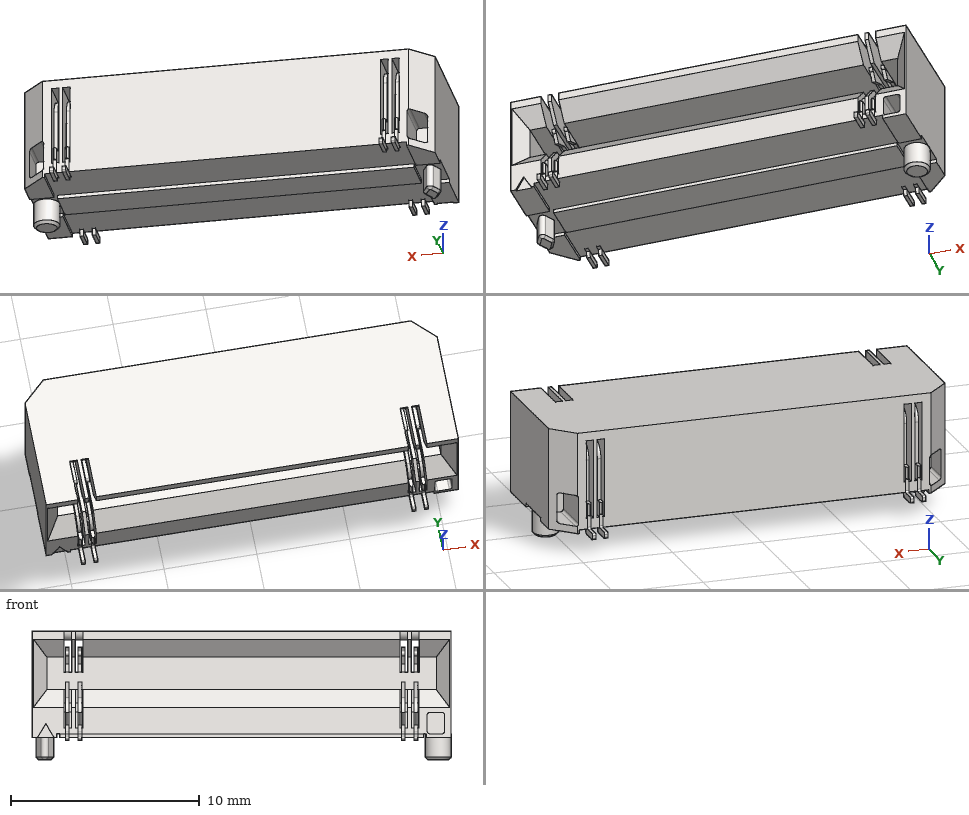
import cadquery as cq
import math


LENGTH = 22.2
DEPTH = 7.44
HEIGHT = 5.65
REAR_CHAMFER = 1.2
FRONT_Y = -DEPTH / 2
REAR_Y = DEPTH / 2

MOUTH_BOTTOM = 1.61
MOUTH_TOP = 5.21
MOUTH_INSET = 0.08
MOUTH_DEPTH = 0.9
CAVITY_BOTTOM = 2.54
CAVITY_TOP = 4.27
CAVITY_INSET = 0.78
REAR_WALL = 1.2

RELIEF = 0.2
CORNER_FOOT_X = 1.31
RELIEF_HALF_Y = 1.2
PAD_HALF_Y = 1.0
PAD_INSET = 1.46

PEG_X = 10.42
PEG_LENGTH = 1.18
PEG_CHAMFER = 0.15
ROUND_PEG_RADIUS = 0.7
DIAMOND_HALF_X = 0.507
DIAMOND_HALF_Y = 0.953
DIAMOND_ROUNDING = 0.22

POCKET_WIDTH = 0.93
POCKET_INSET = 0.34
POCKET_ROUNDING = 0.15
FRONT_POCKET_Z = (0.2, 1.34)
FRONT_POCKET_DEPTH = 2.0
REAR_POCKET_Z = (0.41, 2.14)
REAR_POCKET_DEPTH = 2.5
MARK_WIDTH = 0.88
MARK_HEIGHT = 0.74
MARK_CENTRE_INSET = 0.73
MARK_DEPTH = 0.1

PAIR_X = 8.9
SLOT_OFFSET = 0.3
SLOT_WIDTH = 0.4
SLOT_STEP_DEPTH = 0.87
FRONT_SLOT_BOTTOM = 0.5
LEDGE_Z = 1.37
RAMP_START = 1.2
RAMP_BOTTOM = 1.84
RAMP_ANGLE = 22
ROOF_SLOT_LENGTH = 2.36
ROOF_CHANNEL_TOP = 5.17
REAR_SLOT_BOTTOM = 0.8
REAR_WINDOW_BOTTOM = 3.47

CONTACT_OFFSET = 0.335
CONTACT_THICKNESS = 0.2
SOLDER_TAIL = 0.83
SOLDER_BOTTOM = -0.15
SOLDER_INNER = 0.28
TAIL_ROUNDING = 0.1
LEG_WIDTH = 0.36
BARB = 0.13
BARB_HEIGHT = 0.67
LOWER_BARB_TOP = 1.33
UPPER_BARB_TOP = 1.64
BEND_RADIUS = 0.85
BEAM_THICKNESS = 0.28
LOWER_PEAK_Z = 2.96
LOWER_NOSE_DROP = 0.2
LOWER_NOSE_LENGTH = 0.45
UPPER_BEND_TOP = 4.8
UPPER_NOSE_DEPTH = DEPTH - 1.6
UPPER_NOSE_TOP = 4.6
UPPER_NOSE_BOTTOM = 4.33
UPPER_CONTACT_Z = 3.9
UPPER_CONTACT_DEPTH = 5.35
UPPER_BEAM_BEND_DEPTH = 4.4


def box(x0, x1, y0, y1, z0, z1):
    """Axis-aligned box between opposite corners."""
    return cq.Workplane("XY").box(x1 - x0, y1 - y0, z1 - z0, centered=False).translate((x0, y0, z0))


def shell():
    """Block with the two rear vertical edges cut off."""
    block = box(-LENGTH / 2, LENGTH / 2, FRONT_Y, REAR_Y, 0, HEIGHT)
    return block.edges("|Z and >Y").chamfer(REAR_CHAMFER)


def front_rectangle(y, inset, z0, z1):
    """Rectangular wire across the housing length, in the plane at the given Y."""
    half = LENGTH / 2 - inset
    corners = [(-half, y, z0), (half, y, z0), (half, y, z1), (-half, y, z1)]
    return cq.Wire.makePolygon([cq.Vector(*corner) for corner in corners], close=True)


def cavity():
    """Card cavity: a tapered mouth followed by a straight pocket."""
    mouth_end = FRONT_Y + MOUTH_DEPTH
    mouth = cq.Solid.makeLoft(
        [
            front_rectangle(FRONT_Y, MOUTH_INSET, MOUTH_BOTTOM, MOUTH_TOP),
            front_rectangle(mouth_end, CAVITY_INSET, CAVITY_BOTTOM, CAVITY_TOP),
        ],
        True,
    )
    half = LENGTH / 2 - CAVITY_INSET
    pocket = box(-half, half, mouth_end, REAR_Y - REAR_WALL, CAVITY_BOTTOM, CAVITY_TOP)
    return pocket.union(cq.Workplane(mouth))


def underside_relief():
    """Raised clearance that leaves four corner feet and a long central pad."""
    inner_half = LENGTH / 2 - CORNER_FOOT_X
    pad_half = LENGTH / 2 - PAD_INSET
    lengthwise = box(-LENGTH / 2, LENGTH / 2, -RELIEF_HALF_Y, RELIEF_HALF_Y, 0, RELIEF)
    crosswise = box(-inner_half, inner_half, FRONT_Y, REAR_Y, 0, RELIEF)
    pad = box(-pad_half, pad_half, -PAD_HALF_Y, PAD_HALF_Y, 0, RELIEF)
    return lengthwise.union(crosswise).cut(pad)


def round_peg():
    """Round locating peg on the +X end."""
    peg = cq.Workplane("XY").circle(ROUND_PEG_RADIUS).extrude(RELIEF + PEG_LENGTH)
    return peg.faces("<Z").chamfer(PEG_CHAMFER).translate((PEG_X, 0, -PEG_LENGTH))


def diamond_peg():
    """Diamond-shaped locating peg on the -X end."""
    corners = [(DIAMOND_HALF_X, 0), (0, DIAMOND_HALF_Y), (-DIAMOND_HALF_X, 0), (0, -DIAMOND_HALF_Y)]
    peg = cq.Workplane("XY").polyline(corners).close().extrude(RELIEF + PEG_LENGTH)
    peg = peg.edges("|Z").fillet(DIAMOND_ROUNDING).faces("<Z").chamfer(PEG_CHAMFER)
    return peg.translate((-PEG_X, 0, -PEG_LENGTH))


def corner_pocket(side, y0, y1, z_range):
    """Rectangular pocket with rounded corners near one end (side is -1 or 1)."""
    outer = LENGTH / 2 - POCKET_INSET
    x0, x1 = sorted((side * outer, side * (outer - POCKET_WIDTH)))
    return box(x0, x1, y0, y1, *z_range).edges("|Y").fillet(POCKET_ROUNDING)


def pin_one_mark():
    """Shallow triangle engraved in the front face."""
    centre = -LENGTH / 2 + MARK_CENTRE_INSET
    corners = [(centre - MARK_WIDTH / 2, 0), (centre + MARK_WIDTH / 2, 0), (centre, MARK_HEIGHT)]
    outline = cq.Workplane("XZ", origin=(0, FRONT_Y, 0)).polyline(corners).close()
    return outline.extrude(-MARK_DEPTH)


def side_profile(x, width):
    """Sketch plane for YZ profiles that are extruded over a width centred on x."""
    return cq.Workplane("YZ", origin=(x - width / 2, 0, 0))


def lower_slot(x):
    """Slot in the front face that steps back and ramps up to the cavity floor."""
    ramp_run = (CAVITY_BOTTOM - RAMP_BOTTOM) / math.tan(math.radians(RAMP_ANGLE))
    outline = [
        (0, FRONT_SLOT_BOTTOM),
        (SLOT_STEP_DEPTH, FRONT_SLOT_BOTTOM),
        (SLOT_STEP_DEPTH, LEDGE_Z),
        (RAMP_START, LEDGE_Z),
        (RAMP_START, RAMP_BOTTOM),
        (RAMP_START + ramp_run, CAVITY_BOTTOM),
        (0, CAVITY_BOTTOM),
    ]
    profile = side_profile(x, SLOT_WIDTH).polyline(outline).close().extrude(SLOT_WIDTH)
    return profile.translate((0, FRONT_Y, 0))


def upper_slot(x):
    """Slot through the roof with a rounded end, then a channel under the roof to the rear face."""
    roof = HEIGHT - ROOF_CHANNEL_TOP
    profile = (
        side_profile(x, SLOT_WIDTH)
        .moveTo(0, HEIGHT)
        .lineTo(ROOF_SLOT_LENGTH, HEIGHT)
        .radiusArc((ROOF_SLOT_LENGTH + roof, ROOF_CHANNEL_TOP), -roof)
        .lineTo(DEPTH, ROOF_CHANNEL_TOP)
        .lineTo(DEPTH, REAR_SLOT_BOTTOM)
        .lineTo(DEPTH - SLOT_STEP_DEPTH, REAR_SLOT_BOTTOM)
        .lineTo(DEPTH - SLOT_STEP_DEPTH, REAR_WINDOW_BOTTOM)
        .lineTo(DEPTH - REAR_WALL, REAR_WINDOW_BOTTOM)
        .lineTo(DEPTH - REAR_WALL, CAVITY_TOP)
        .lineTo(0, CAVITY_TOP)
        .close()
        .extrude(SLOT_WIDTH)
    )
    return profile.translate((0, FRONT_Y, 0))


def contact_root(x, barb_top):
    """Start a contact outline: inner foot corner, solder tail and leg up to the barb's top."""
    return (
        side_profile(x, CONTACT_THICKNESS)
        .moveTo(LEG_WIDTH, RELIEF)
        .lineTo(SOLDER_INNER, SOLDER_BOTTOM)
        .lineTo(TAIL_ROUNDING - SOLDER_TAIL, SOLDER_BOTTOM)
        .radiusArc((-SOLDER_TAIL, SOLDER_BOTTOM + TAIL_ROUNDING), TAIL_ROUNDING)
        .lineTo(-SOLDER_TAIL, RELIEF - TAIL_ROUNDING)
        .radiusArc((TAIL_ROUNDING - SOLDER_TAIL, RELIEF), TAIL_ROUNDING)
        .lineTo(-TAIL_ROUNDING, RELIEF)
        .radiusArc((0, RELIEF + TAIL_ROUNDING), -TAIL_ROUNDING)
        .lineTo(0, barb_top)
        .lineTo(LEG_WIDTH, barb_top)
    )


def barb(x, barb_top):
    """Pointed ridge that stands out from the outer edge of a contact leg."""
    half = CONTACT_THICKNESS / 2
    section = [(x - half, 0), (x, -BARB), (x + half, 0)]
    base = cq.Workplane("XY", origin=(0, 0, barb_top - BARB_HEIGHT))
    return base.polyline(section).close().extrude(BARB_HEIGHT)


def lower_contact(x):
    """Contact from the front face: its beam bends over the shelf and peaks above the cavity floor."""
    slope = math.radians(RAMP_ANGLE)
    along = (math.cos(slope), math.sin(slope))
    bend_end = (
        LEG_WIDTH + BEND_RADIUS * (1 - along[1]),
        LOWER_BARB_TOP + BEND_RADIUS * along[0],
    )
    beam_length = (LOWER_PEAK_Z - bend_end[1]) / along[1]
    peak = (bend_end[0] + beam_length * along[0], LOWER_PEAK_Z)
    nose = (peak[0] + LOWER_NOSE_LENGTH, LOWER_PEAK_Z - LOWER_NOSE_DROP)
    inner_peak = (peak[0], LOWER_PEAK_Z - BEAM_THICKNESS / along[0])
    inner_radius = BEND_RADIUS - BEAM_THICKNESS
    inner_bend_end = (
        LEG_WIDTH + BEND_RADIUS - inner_radius * along[1],
        LOWER_BARB_TOP + inner_radius * along[0],
    )
    profile = (
        contact_root(x, LOWER_BARB_TOP)
        .radiusArc(bend_end, BEND_RADIUS)
        .lineTo(*peak)
        .lineTo(*nose)
        .lineTo(*inner_peak)
        .lineTo(*inner_bend_end)
        .radiusArc((LEG_WIDTH + BEAM_THICKNESS, LOWER_BARB_TOP), -inner_radius)
        .lineTo(LEG_WIDTH, RELIEF)
        .close()
        .extrude(CONTACT_THICKNESS)
    )
    return profile.union(barb(x, LOWER_BARB_TOP)).translate((0, FRONT_Y, 0))


def upper_contact(x):
    """Contact from the rear face: its beam runs forward under the roof to a hooked nose."""
    nose_radius = (UPPER_NOSE_TOP - UPPER_NOSE_BOTTOM) / 2
    nose_start = UPPER_NOSE_DEPTH - nose_radius
    inner_radius = BEND_RADIUS - BEAM_THICKNESS
    bend_base = UPPER_BEND_TOP - BEND_RADIUS
    bend_centre = LEG_WIDTH + BEND_RADIUS
    profile = (
        contact_root(x, UPPER_BARB_TOP)
        .lineTo(LEG_WIDTH, bend_base)
        .radiusArc((bend_centre, UPPER_BEND_TOP), BEND_RADIUS)
        .lineTo(nose_start, UPPER_NOSE_TOP)
        .threePointArc((UPPER_NOSE_DEPTH, UPPER_NOSE_TOP - nose_radius), (nose_start, UPPER_NOSE_BOTTOM))
        .lineTo(UPPER_CONTACT_DEPTH, UPPER_CONTACT_Z)
        .lineTo(UPPER_BEAM_BEND_DEPTH, UPPER_NOSE_TOP - BEAM_THICKNESS)
        .lineTo(bend_centre, UPPER_BEND_TOP - BEAM_THICKNESS)
        .radiusArc((LEG_WIDTH + BEAM_THICKNESS, bend_base), -inner_radius)
        .lineTo(LEG_WIDTH + BEAM_THICKNESS, RELIEF)
        .close()
        .extrude(CONTACT_THICKNESS)
    )
    return profile.union(barb(x, UPPER_BARB_TOP)).mirror("XZ").translate((0, REAR_Y, 0))


lower_contacts = []
upper_contacts = []
slots = []
for pair_x in (-PAIR_X, PAIR_X):
    for side in (-1, 1):
        slots.append(lower_slot(pair_x + side * SLOT_OFFSET))
        slots.append(upper_slot(pair_x + side * SLOT_OFFSET))
        lower_contacts.append(lower_contact(pair_x + side * CONTACT_OFFSET))
        upper_contacts.append(upper_contact(pair_x + side * CONTACT_OFFSET))

housing = shell().cut(cavity()).cut(underside_relief())
housing = housing.union(round_peg()).union(diamond_peg())
housing = housing.cut(corner_pocket(1, FRONT_Y, FRONT_Y + FRONT_POCKET_DEPTH, FRONT_POCKET_Z))
for end in (-1, 1):
    housing = housing.cut(corner_pocket(end, REAR_Y - REAR_POCKET_DEPTH, REAR_Y, REAR_POCKET_Z))
housing = housing.cut(pin_one_mark())
for opening in slots + lower_contacts + upper_contacts:
    housing = housing.cut(opening)

contacts = [contact.val() for contact in lower_contacts + upper_contacts]
result = cq.Compound.makeCompound([housing.val(), *contacts])